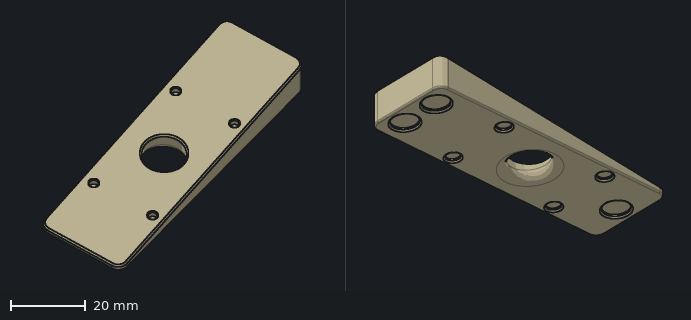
import cadquery as cq
import math

length = 86.5
width = 26.7
thin_height = 2.0
slope_angle = 6.0
corner_radius = 3.0
edge_size = 0.5

pattern_x = 0.2
pattern_y = -4.15
bore_diameter = 12.0
bore_flare_radius = 3.0
screw_pitch_x = 19.2
screw_pitch_y = 38.2

screw_diameter = 2.4
screw_chamfer = 0.3
screw_depth = 2.0

screw_pocket_diameter = 4.2
screw_pocket_depth = 1.0

foot_diameter = 8.0
foot_depth = 1.0
foot_end_distance = 6.05
foot_pair_spacing = 11.8

slope = math.tan(math.radians(slope_angle))
thick_height = thin_height + slope * length


def underside_z(y):
    """Height of the sloping underside at a given y."""
    return -(thin_height + slope * (y + length / 2))


def wedge_body():
    """Wedge with rounded upright corners, a chamfered top outline and a rounded lower one."""
    side_profile = [
        (-length / 2, 0),
        (length / 2, 0),
        (length / 2, -thick_height),
        (-length / 2, -thin_height),
    ]
    body = cq.Workplane("YZ").polyline(side_profile).close().extrude(width / 2, both=True)
    body = body.edges("|Z").fillet(corner_radius)
    body = body.faces(">Z").edges().chamfer(edge_size)
    return body.faces("<Z").edges().fillet(edge_size)


def with_bore(body):
    """Cut the upright bore, flare its lower rim with a large fillet and chamfer its upper rim."""
    center = cq.Workplane("XY", origin=(pattern_x, pattern_y, 0))
    body = body.cut(center.circle(bore_diameter / 2).extrude(-thick_height))
    on_axis = cq.selectors.BoxSelector(
        (pattern_x - bore_diameter / 4, pattern_y - bore_diameter / 4, -thick_height),
        (pattern_x + bore_diameter / 4, pattern_y + bore_diameter / 4, edge_size),
    )
    body = body.edges(on_axis).edges("<Z").fillet(bore_flare_radius)
    return body.edges(on_axis).edges(">Z").chamfer(edge_size)


def pocket_cutter(diameter, depth, chamfer):
    """Cutter for a blind round hole going up from z = 0, chamfered at its mouth."""
    cutter = cq.Workplane("XY").circle(diameter / 2).extrude(depth)
    rim = cq.Solid.makeCone(diameter / 2 + chamfer, diameter / 2, chamfer)
    return cutter.union(cq.Workplane(rim))


def on_underside(cutter, x, y):
    """Place a cutter square to the underside."""
    tilted = cutter.rotate((0, 0, 0), (1, 0, 0), -slope_angle)
    return tilted.translate((x, y, underside_z(y)))


screw_hole = pocket_cutter(screw_diameter, screw_depth, screw_chamfer).mirror("XY")
screw_pocket = pocket_cutter(screw_pocket_diameter, screw_pocket_depth, edge_size)
foot_pocket = pocket_cutter(foot_diameter, foot_depth, edge_size)

result = with_bore(wedge_body())

for side in (-1, 1):
    for end in (-1, 1):
        screw_x = pattern_x + side * screw_pitch_x / 2
        screw_y = pattern_y + end * screw_pitch_y / 2
        result = result.cut(screw_hole.translate((screw_x, screw_y, 0)))
        result = result.cut(on_underside(screw_pocket, screw_x, screw_y))

foot_row_y = length / 2 - foot_end_distance
foot_positions = [
    (0, -foot_row_y),
    (-foot_pair_spacing / 2, foot_row_y),
    (foot_pair_spacing / 2, foot_row_y),
]
for foot_x, foot_y in foot_positions:
    result = result.cut(on_underside(foot_pocket, foot_x, foot_y))